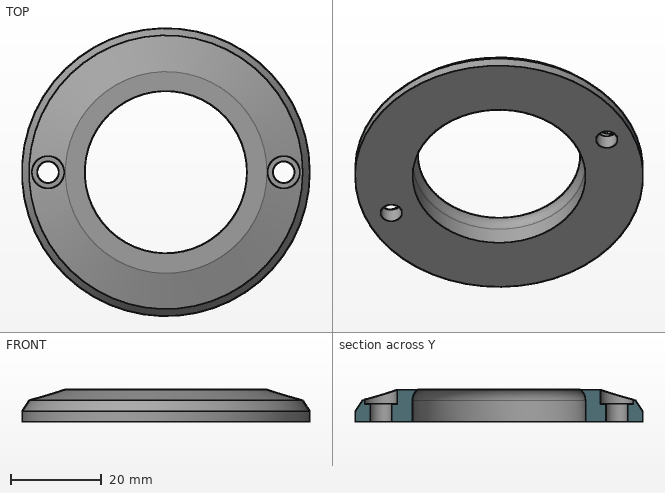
import cadquery as cq
import math

outer_diameter = 63.5
shoulder_diameter = 60.3
top_face_diameter = 44.45
height = 7.2
rim_height = height / 3
shoulder_height = 2 * height / 3

lip_diameter = 35.7
bore_diameter = 38.1
cove_depth = 2.4

screw_spacing = 51.95
screw_hole_diameter = 4.7
screw_head_diameter = 7.1
screw_seat_height = 4.0


def ring_body():
    """Revolve the half section, with two cones above the straight rim."""
    lip_radius = lip_diameter / 2
    bore_radius = bore_diameter / 2
    cove_start_height = height - cove_depth
    cove_width = bore_radius - lip_radius
    cove_radius = (cove_width**2 + cove_depth**2) / (2 * cove_width)
    cove_center_radius = bore_radius - cove_radius

    def cove_height(radius):
        """Height of the cove arc, which leaves the bore wall tangentially."""
        return cove_start_height + math.sqrt(cove_radius**2 - (radius - cove_center_radius) ** 2)

    cove_middle_radius = (lip_radius + bore_radius) / 2
    section = (
        cq.Workplane("XZ")
        .moveTo(bore_radius, 0)
        .lineTo(outer_diameter / 2, 0)
        .lineTo(outer_diameter / 2, rim_height)
        .lineTo(shoulder_diameter / 2, shoulder_height)
        .lineTo(top_face_diameter / 2, height)
        .lineTo(lip_radius, height)
        .threePointArc(
            (cove_middle_radius, cove_height(cove_middle_radius)),
            (bore_radius, cove_start_height),
        )
        .close()
    )
    axis_start = (0, 0)
    axis_end = (0, 1)
    return section.revolve(360, axis_start, axis_end)


def screw_cutter(x):
    """Through hole with a flat-bottomed head pocket above the seat."""
    hole = cq.Workplane("XY").center(x, 0).circle(screw_hole_diameter / 2).extrude(height)
    pocket = (
        cq.Workplane("XY", origin=(x, 0, screw_seat_height))
        .circle(screw_head_diameter / 2)
        .extrude(height - screw_seat_height)
    )
    return hole.union(pocket)


result = ring_body()
for side in (-1, 1):
    result = result.cut(screw_cutter(side * screw_spacing / 2))